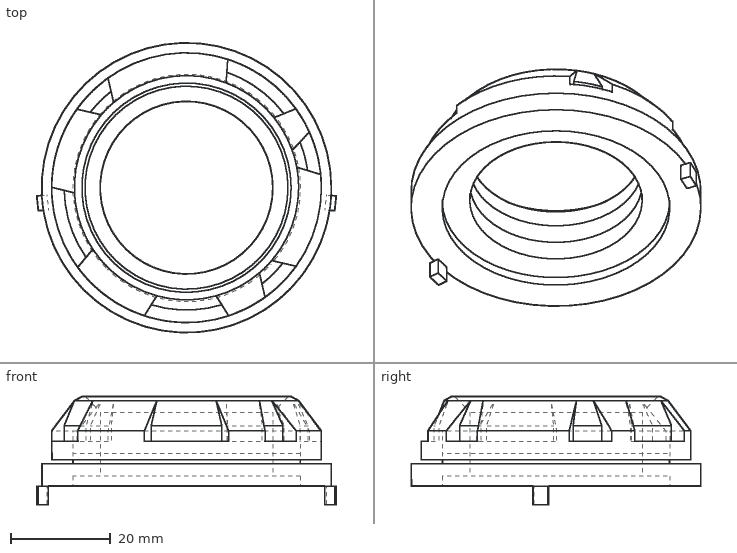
import cadquery as cq
import math

base_bottom = 3.8
base_top = 8.3
spigot_height = 2.05
spigot_top = base_top + spigot_height
cap_bottom = 9.0
pocket_floor = 12.8
rim_bottom = 14.8
recess_top = 14.8
pocket_cone_bottom = 15.9
bore_cone_bottom = 18.6
cone_top = 20.9
total_height = 21.7

bore_radius = 34.5 / 2
bore_mouth_radius = 40.6 / 2
seal_radius = 45.5 / 2
cap_radius = 54 / 2
base_radius = 58.0 / 2
cone_top_radius = 22.45
top_face_radius = 20.95
pocket_radius = 24.5

wide_pocket_angles = (54, 198, 270)
wide_pocket_half_angle = 18.2
narrow_pocket_angles = (15, 135, 315)
narrow_pocket_half_angle = 9.4
pocket_flare = 32
pocket_inner_reach = 20.7
pocket_outer_reach = 30

tab_angle = 6
tab_width = 3
tab_inner_reach = 27.95
tab_outer_reach = 30


def revolved(profile):
    """Solid turned about Z from (radius, height) points."""
    return cq.Workplane("XZ").polyline(profile).close().revolve(360, (0, 0), (0, 1))


def make_tab(angle):
    """Rectangular tab that points outward at the given angle."""
    return (
        cq.Workplane("XY")
        .box(tab_outer_reach - tab_inner_reach, tab_width, base_bottom, centered=(False, True, False))
        .translate((tab_inner_reach, 0, 0))
        .rotate((0, 0, 0), (0, 0, 1), angle)
    )


def make_base():
    """Bottom ring with a spigot on top, a counterbore below and two tabs."""
    base = revolved([
        (bore_radius, spigot_top),
        (seal_radius, spigot_top),
        (seal_radius, base_top),
        (base_radius, base_top),
        (base_radius, base_bottom),
        (seal_radius, base_bottom),
        (seal_radius, base_bottom + spigot_height),
        (bore_radius, base_bottom + spigot_height),
    ])
    for angle in (-tab_angle, 180 + tab_angle):
        base = base.union(make_tab(angle))
    return base


def make_seal():
    """Plain ring that stands on the spigot and fills the recess of the cap."""
    return (
        cq.Workplane("XY").workplane(offset=spigot_top)
        .circle(seal_radius).circle(bore_radius).extrude(recess_top - spigot_top)
    )


def pocket_wedge(angle, half_angle):
    """Flared block between a pocket's side walls, from its floor to the top of the cone."""
    rim_reach = cap_radius * math.cos(math.radians(half_angle))
    rim_half_width = cap_radius * math.sin(math.radians(half_angle))
    slope = math.tan(math.radians(pocket_flare))
    inner_half_width = rim_half_width - slope * (rim_reach - pocket_inner_reach)
    outer_half_width = rim_half_width + slope * (pocket_outer_reach - rim_reach)
    return (
        cq.Workplane("XY").workplane(offset=pocket_floor)
        .polyline([
            (pocket_inner_reach, -inner_half_width),
            (pocket_outer_reach, -outer_half_width),
            (pocket_outer_reach, outer_half_width),
            (pocket_inner_reach, inner_half_width),
        ])
        .close()
        .extrude(cone_top - pocket_floor)
        .rotate((0, 0, 0), (0, 0, 1), angle)
    )


def make_cap():
    """Conical top ring with six pockets and a recess for the seal and spigot."""
    cap = revolved([
        (seal_radius, cap_bottom),
        (cap_radius, cap_bottom),
        (cap_radius, rim_bottom),
        (cone_top_radius, cone_top),
        (top_face_radius, total_height),
        (bore_mouth_radius, total_height),
        (bore_radius, bore_cone_bottom),
        (bore_radius, recess_top),
        (seal_radius, recess_top),
    ])

    core = revolved([
        (0, pocket_floor),
        (pocket_radius, pocket_floor),
        (pocket_radius, pocket_cone_bottom),
        (cone_top_radius, cone_top),
        (0, cone_top),
    ])
    pocket_groups = (
        (wide_pocket_angles, wide_pocket_half_angle),
        (narrow_pocket_angles, narrow_pocket_half_angle),
    )
    for angles, half_angle in pocket_groups:
        for angle in angles:
            cap = cap.cut(pocket_wedge(angle, half_angle).cut(core))
    return cap


base = make_base()
seal = make_seal()
cap = make_cap()

result = cq.Compound.makeCompound([base.solids().val(), seal.val(), cap.solids().val()])